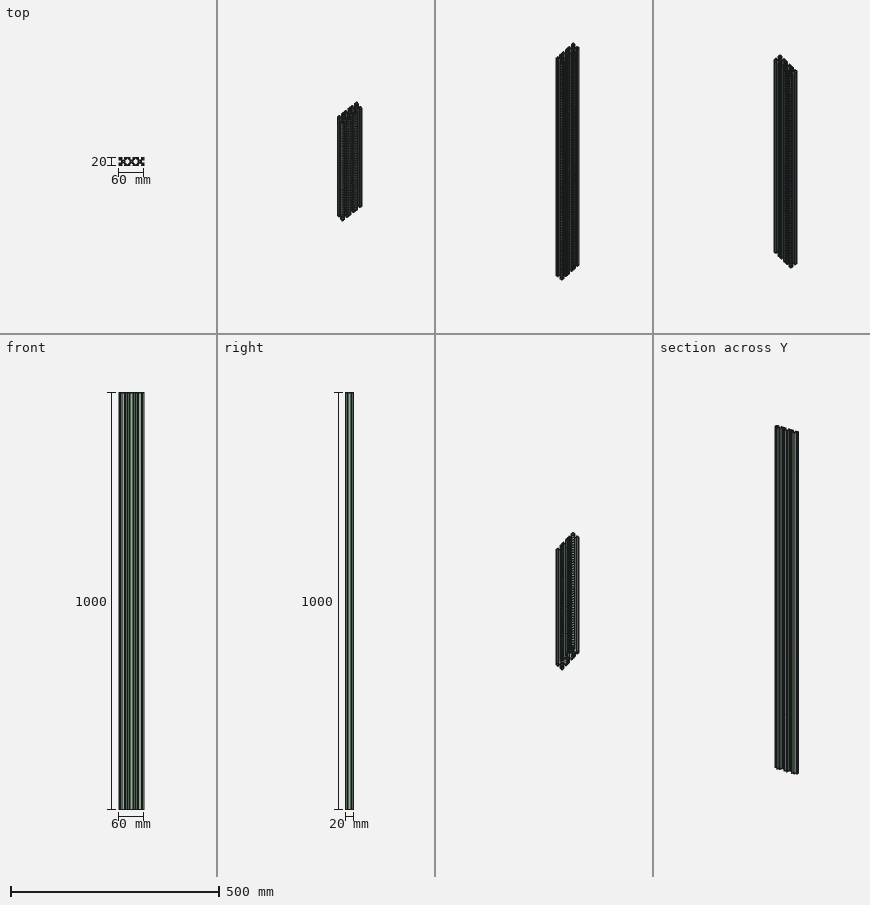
import cadquery as cq
import math

length = 1000.0
cell_size = 20.0
cell_count = 3
corner_radius = 1.0

slot_opening = 6.8
slot_inner_width = 12.0
slot_floor_width = 5.4
slot_depth = 6.0
slot_lip_thickness = 2.2
slot_floor_radius = 1.0

bore_diameter = 5.0
cavity_width = 12.0
cavity_wall = 2.0
web_thickness = 1.8

half_cell = cell_size / 2
row_width = cell_size * cell_count
end_cell_x = (row_width - cell_size) / 2
cell_xs = [end_cell_x - cell_size * i for i in range(cell_count)]
cavity_xs = [x - half_cell for x in cell_xs[:-1]]
slot_floor_y = half_cell - slot_depth


def mirror_in_x(right_half):
    """Complete a half outline, listed on the +X side, with its mirror image."""
    return right_half + [(-x, y) for x, y in reversed(right_half)]


def make_prism(outline):
    return cq.Workplane("XY").polyline(outline).close().extrude(length)


def make_slot():
    """T-slot in the +Y face of a cell at the origin, with 45 degree flanks down to its floor."""
    lip_y = half_cell - slot_lip_thickness
    flank_run = (slot_inner_width - slot_floor_width) / 2
    right_half = [
        (slot_opening / 2, half_cell),
        (slot_opening / 2, lip_y),
        (slot_inner_width / 2, lip_y),
        (slot_inner_width / 2, slot_floor_y + flank_run),
        (slot_floor_width / 2, slot_floor_y),
    ]
    slot = make_prism(mirror_in_x(right_half))
    floor_corners = slot.faces("<Y").edges("|Z")
    return floor_corners.fillet(slot_floor_radius)


def make_cavity():
    """Eight-cornered cavity at the origin; its flanks leave an even web beside the slot flanks."""
    slot_flank_sum = half_cell - slot_floor_width / 2 + slot_floor_y
    flank_sum = slot_flank_sum - web_thickness * math.sqrt(2)
    half_width = cavity_width / 2
    half_height = half_cell - cavity_wall
    upper_right = [
        (half_width, flank_sum - half_width),
        (flank_sum - half_height, half_height),
    ]
    lower_right = [(x, -y) for x, y in reversed(upper_right)]
    return make_prism(mirror_in_x(lower_right + upper_right))


def cut_slot(body, x, angle):
    """Cut a slot into the cell at x, turned by angle from the +Y face."""
    slot = make_slot().rotate((0, 0, 0), (0, 0, 1), angle)
    return body.cut(slot.translate((x, 0, 0)))


body = cq.Workplane("XY").rect(row_width, cell_size).extrude(length)
body = body.edges("|Z").fillet(corner_radius)

for cell_x in cell_xs:
    for angle in (0, 180):
        body = cut_slot(body, cell_x, angle)
body = cut_slot(body, end_cell_x, -90)
body = cut_slot(body, -end_cell_x, 90)

for cavity_x in cavity_xs:
    body = body.cut(make_cavity().translate((cavity_x, 0, 0)))

bore_centers = [(x, 0) for x in cell_xs]
bores = cq.Workplane("XY").pushPoints(bore_centers).circle(bore_diameter / 2).extrude(length)
result = body.cut(bores)